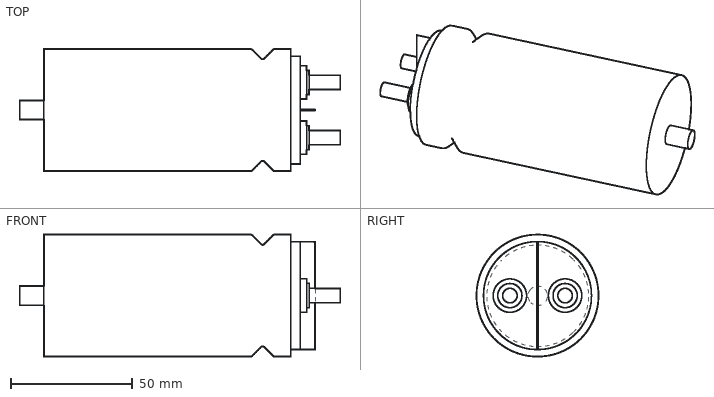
import cadquery as cq

CAN_RADIUS = 25.25
CAN_LENGTH = 102.0

GROOVE_CENTER = 90.35
GROOVE_HALF_WIDTH = 4.6
GROOVE_VERTEX_RADIUS = CAN_RADIUS - GROOVE_HALF_WIDTH
GROOVE_SHOULDER_FILLET = 0.9
GROOVE_FLOOR_FILLET = 0.8

STUD_RADIUS = 4.0
STUD_LENGTH = 10.0

COVER_RADIUS = 22.32
COVER_THICKNESS = 4.0
COVER_FACE = CAN_LENGTH + COVER_THICKNESS

PLATE_HEIGHT = 6.0
PLATE_THICKNESS = 0.6
PLATE_WIDTH = 2 * COVER_RADIUS
PLATE_EDGE_FILLET = 0.29

TERMINAL_OFFSET = 11.4
FLANGE_RADIUS = 6.9
FLANGE_HEIGHT = 2.5
COLLAR_RADIUS = 5.0
COLLAR_HEIGHT = 1.1
PIN_RADIUS = 3.0
PIN_LENGTH = 12.9
TERMINAL_STEPS = [
    (FLANGE_RADIUS, FLANGE_HEIGHT),
    (COLLAR_RADIUS, COLLAR_HEIGHT),
    (PIN_RADIUS, PIN_LENGTH),
]


def cylinder_along_x(start, radius, length, y=0.0):
    return cq.Workplane("YZ", origin=(start, y, 0)).circle(radius).extrude(length)


def fillet_ring_at(body, x, fillet_radius):
    """Round the circular edge of a turned body that lies at the given X."""
    slab_half = GROOVE_HALF_WIDTH / 4
    reach = 2 * CAN_RADIUS
    slab = cq.selectors.BoxSelector(
        (x - slab_half, -reach, -reach),
        (x + slab_half, reach, reach),
        boundingbox=True,
    )
    return body.edges(slab).fillet(fillet_radius)


def make_can():
    groove_start = GROOVE_CENTER - GROOVE_HALF_WIDTH
    groove_end = GROOVE_CENTER + GROOVE_HALF_WIDTH
    half_profile = (
        cq.Workplane("XZ")
        .lineTo(0, CAN_RADIUS)
        .lineTo(groove_start, CAN_RADIUS)
        .lineTo(GROOVE_CENTER, GROOVE_VERTEX_RADIUS)
        .lineTo(groove_end, CAN_RADIUS)
        .lineTo(CAN_LENGTH, CAN_RADIUS)
        .lineTo(CAN_LENGTH, 0)
        .close()
    )
    can = half_profile.revolve(360, (0, 0, 0), (1, 0, 0))
    can = fillet_ring_at(can, GROOVE_CENTER, GROOVE_FLOOR_FILLET)
    for shoulder in (groove_start, groove_end):
        can = fillet_ring_at(can, shoulder, GROOVE_SHOULDER_FILLET)
    return can


def make_plate():
    plate = cq.Workplane("XY").box(PLATE_HEIGHT, PLATE_THICKNESS, PLATE_WIDTH)
    free_edges = "(|X or >X) and (>Y or <Y)"
    plate = plate.edges(free_edges).fillet(PLATE_EDGE_FILLET)
    return plate.translate((COVER_FACE + PLATE_HEIGHT / 2, 0, 0))


def add_terminal(body, y):
    start = COVER_FACE
    for radius, height in TERMINAL_STEPS:
        body = body.union(cylinder_along_x(start, radius, height, y))
        start += height
    return body


capacitor = (
    make_can()
    .union(cylinder_along_x(-STUD_LENGTH, STUD_RADIUS, STUD_LENGTH))
    .union(cylinder_along_x(CAN_LENGTH, COVER_RADIUS, COVER_THICKNESS))
    .union(make_plate())
)
for terminal_y in (-TERMINAL_OFFSET, TERMINAL_OFFSET):
    capacitor = add_terminal(capacitor, terminal_y)

result = capacitor